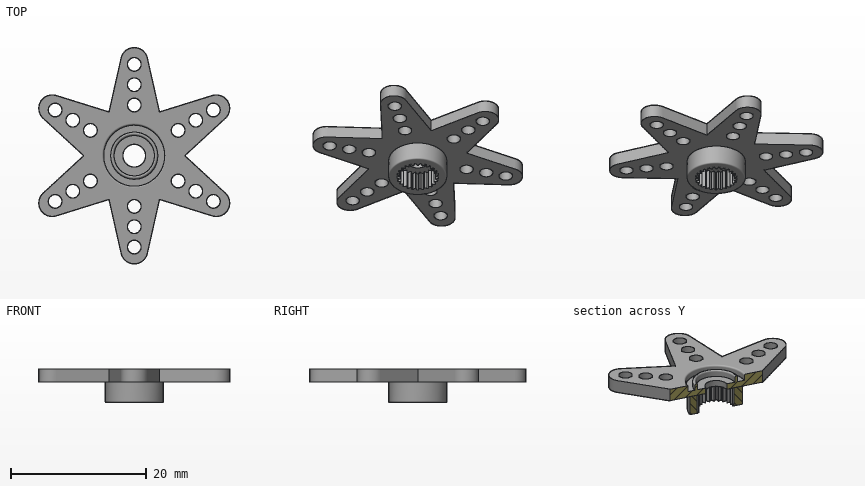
import cadquery as cq
import math

arm_count = 6
arm_step = 2 * math.pi / arm_count
first_arm_angle = math.pi / 2
arm_reach = 16.0
tip_width = 4.0
tip_radius = tip_width / 2
tip_centre_radius = arm_reach - tip_radius
valley_radius = 7.5
plate_thickness = 2.0

arm_hole_diameter = 2.0
holes_per_arm = 3
first_hole_radius = 7.5
hole_pitch = 3.0

recess_depth = plate_thickness / 2
recess_radius = 4.5
recess_lip_round = 0.25
bead_outer_radius = 3.5
bead_width = 0.5
bead_inner_radius = bead_outer_radius - bead_width
bore_diameter = 3.33

hub_diameter = 8.6
hub_length = 3.0
hub_edge_round = 0.2
spline_count = 25
spline_root_radius = 3.1
spline_tip_radius = 2.7
spline_root_angle = math.radians(3.5)


def polar(radius, angle):
    """Point in the XY plane at a distance from the Z axis and an angle from +X."""
    return (radius * math.cos(angle), radius * math.sin(angle))


def make_star():
    """Star with round tips whose sides run tangent from the tips into sharp valleys."""
    valley_along = valley_radius * math.cos(arm_step / 2)
    valley_across = valley_radius * math.sin(arm_step / 2)
    run = tip_centre_radius - valley_along
    slant = math.hypot(run, valley_across)
    tangent_angle = math.pi - math.atan2(valley_across, run) - math.acos(tip_radius / slant)

    outline = cq.Workplane("XY").workplane(offset=-plate_thickness)
    outline = outline.moveTo(*polar(valley_radius, first_arm_angle - arm_step / 2))
    for arm in range(arm_count):
        angle = first_arm_angle + arm * arm_step
        centre_x, centre_y = polar(tip_centre_radius, angle)
        start_x, start_y = polar(tip_radius, angle - tangent_angle)
        end_x, end_y = polar(tip_radius, angle + tangent_angle)
        outline = outline.lineTo(centre_x + start_x, centre_y + start_y)
        outline = outline.threePointArc(polar(arm_reach, angle), (centre_x + end_x, centre_y + end_y))
        if arm < arm_count - 1:
            outline = outline.lineTo(*polar(valley_radius, angle + arm_step / 2))
    return outline.close().extrude(plate_thickness)


def make_arm_holes():
    """Rows of through holes along the arms, as the volume to cut away."""
    places = [
        polar(first_hole_radius + hole * hole_pitch, first_arm_angle + arm * arm_step)
        for arm in range(arm_count)
        for hole in range(holes_per_arm)
    ]
    drill = cq.Workplane("XY").workplane(offset=-plate_thickness)
    return drill.pushPoints(places).circle(arm_hole_diameter / 2).extrude(plate_thickness)


def make_recess():
    """Round pocket with a rounded lip, as the volume to cut away."""
    lip = recess_lip_round
    diagonal = lip * (1 - math.sqrt(0.5))
    return (
        cq.Workplane("XZ")
        .moveTo(0, -recess_depth)
        .lineTo(recess_radius, -recess_depth)
        .lineTo(recess_radius, -lip)
        .threePointArc((recess_radius + diagonal, -diagonal), (recess_radius + lip, 0))
        .lineTo(0, 0)
        .close()
        .revolve(360, (0, 0, 0), (0, 1, 0))
    )


def make_bead():
    """Ring that stands on the recess floor, flush with the plate, with a full-round crest."""
    crest = bead_width / 2
    return (
        cq.Workplane("XZ")
        .moveTo(bead_inner_radius, -recess_depth)
        .lineTo(bead_outer_radius, -recess_depth)
        .lineTo(bead_outer_radius, -crest)
        .threePointArc((bead_outer_radius - crest, 0), (bead_inner_radius, -crest))
        .close()
        .revolve(360, (0, 0, 0), (0, 1, 0))
    )


def make_plate():
    """Star plate with arm holes, recess, bead and a plain central bore."""
    plate = make_star().cut(make_arm_holes()).cut(make_recess()).union(make_bead())
    bore = (
        cq.Workplane("XY")
        .workplane(offset=-plate_thickness)
        .circle(bore_diameter / 2)
        .extrude(plate_thickness)
    )
    return plate.cut(bore)


def make_spline_socket():
    """Splined socket with sharp teeth between narrow round roots, as the volume to cut away."""
    tooth_step = 2 * math.pi / spline_count
    half_root = spline_root_angle / 2
    first_root_start = math.pi

    outline = cq.Workplane("XY").workplane(offset=-plate_thickness)
    outline = outline.moveTo(*polar(spline_root_radius, first_root_start))
    for tooth in range(spline_count):
        root_middle = first_root_start + half_root + tooth * tooth_step
        outline = outline.threePointArc(
            polar(spline_root_radius, root_middle),
            polar(spline_root_radius, root_middle + half_root),
        )
        outline = outline.lineTo(*polar(spline_tip_radius, root_middle + tooth_step / 2))
        if tooth < spline_count - 1:
            outline = outline.lineTo(*polar(spline_root_radius, root_middle + tooth_step - half_root))
    return outline.close().extrude(-hub_length)


def make_hub():
    """Round hub against the underside of the plate, with a rounded lower edge and a splined socket."""
    hub = (
        cq.Workplane("XY")
        .workplane(offset=-plate_thickness)
        .circle(hub_diameter / 2)
        .extrude(-hub_length)
        .faces("<Z")
        .edges()
        .fillet(hub_edge_round)
    )
    return hub.cut(make_spline_socket())


plate = make_plate()
hub = make_hub()
result = cq.Compound.makeCompound([plate.val(), hub.val()])